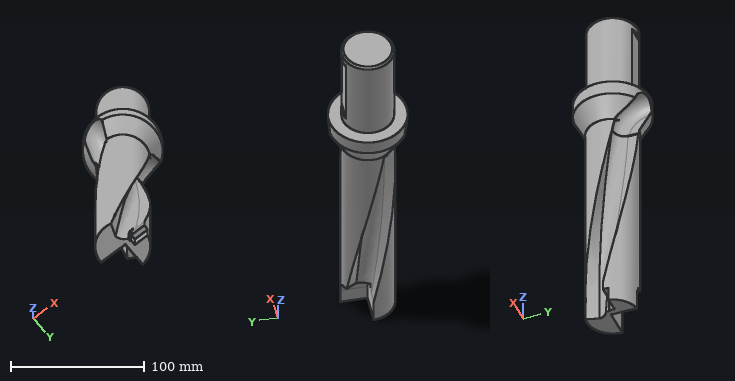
import cadquery as cq
import math

total_length = 271.0
shank_diameter = 39.8
shank_length = 70.0
shank_chamfer = 1.5
collar_diameter = 60.0
collar_thickness = 11.5
cone_height = 17.0
body_diameter = 41.5

flat_depth = 1.5
flat_bottom = 207.8
flat_top = 263.5

wall_angle = 169.5
wall_start = 12.5
root_radius = 9.5
root_start_angle = -9.0
flank_angle = 110.0
flute_reach = 24.5
flute_twist_rate = 0.5906
flute_top = 171.8

runout_bottom = 169.0
runout_radius = 10.3
runout_depth = 28.5
runout_axis_offset = 31.5
runout_tilt = 9.0

pocket_straight = 12.5
pocket_bend_radius = 14.0
central_floor = 2.7
central_wall = 0.3
outer_floor = 7.3
outer_wall = 0.0
seat_floor = 8.0
seat_wall = 4.3
seat_height = 11.0

shank_radius = shank_diameter / 2
collar_radius = collar_diameter / 2
body_radius = body_diameter / 2
collar_top = total_length - shank_length
collar_bottom = collar_top - collar_thickness
cone_bottom = collar_bottom - cone_height


def polar(radius, angle):
    """Point at a radius and an angle in degrees."""
    turn = math.radians(angle)
    return cq.Vector(radius * math.cos(turn), radius * math.sin(turn))


def turned_blank():
    """Body, cone, collar and chamfered shank as one revolved solid."""
    return (
        cq.Workplane("XZ")
        .moveTo(0, 0)
        .lineTo(body_radius, 0)
        .lineTo(body_radius, cone_bottom)
        .lineTo(collar_radius, collar_bottom)
        .lineTo(collar_radius, collar_top)
        .lineTo(shank_radius, collar_top)
        .lineTo(shank_radius, total_length - shank_chamfer)
        .lineTo(shank_radius - shank_chamfer, total_length)
        .lineTo(0, total_length)
        .close()
        .revolve(360, (0, 0, 0), (0, 1, 0))
    )


def clamping_flat():
    """Block that cuts the flat into the +Y side of the shank."""
    return cq.Workplane("XY").box(
        shank_diameter, shank_radius, flat_top - flat_bottom, centered=(True, False, False)
    ).translate((0, shank_radius - flat_depth, flat_bottom))


def flute_root(turn):
    """Start, middle and end of the round flute root, turned by an angle from z = 0."""
    root_end_angle = wall_angle - 270
    root_middle_angle = (root_start_angle + root_end_angle) / 2
    root_end = polar(wall_start, wall_angle + turn)
    root_center = root_end - polar(root_radius, root_end_angle + turn)
    root_start = root_center + polar(root_radius, root_start_angle + turn)
    root_middle = root_center + polar(root_radius, root_middle_angle + turn)
    return root_start, root_middle, root_end


def helical_flute():
    """Twisted slot along the body, reaching into the run-out."""
    root_start, root_middle, root_end = flute_root(0)
    flank_end = root_start + polar(flute_reach, flank_angle)
    wall_end = root_end + polar(flute_reach, wall_angle)
    section = (
        cq.Workplane("XY")
        .moveTo(flank_end.x, flank_end.y)
        .lineTo(root_start.x, root_start.y)
        .threePointArc((root_middle.x, root_middle.y), (root_end.x, root_end.y))
        .lineTo(wall_end.x, wall_end.y)
        .close()
    )
    return section.twistExtrude(flute_top, flute_twist_rate * flute_top)


def flute_runout():
    """U-shaped groove, open towards -Y, swung up and outward through the collar."""
    apex = flute_root(flute_twist_rate * runout_bottom)[0]
    left = apex.x - runout_radius
    right = apex.x + runout_radius
    round_start = apex.y - runout_radius
    section = (
        cq.Workplane("XY", origin=(0, 0, runout_bottom))
        .moveTo(left, -runout_depth)
        .lineTo(left, round_start)
        .threePointArc((apex.x, apex.y), (right, round_start))
        .lineTo(right, -runout_depth)
        .close()
    )
    swing = section.revolve(90, (0, -runout_axis_offset, 0), (1, -runout_axis_offset, 0))
    return swing.rotate((0, 0, runout_bottom), (0, 1, runout_bottom), runout_tilt)


def insert_pocket(floor, wall):
    """Pocket on the -X, +Y side: a flat floor that bends out to -X, beside a wall facing +Y."""
    pocket_top = pocket_straight + pocket_bend_radius
    bend_middle = polar(pocket_bend_radius, 45)
    bend_x = floor - pocket_bend_radius
    return (
        cq.Workplane("XZ", origin=(0, wall, 0))
        .moveTo(-collar_radius, 0)
        .lineTo(floor, 0)
        .lineTo(floor, pocket_straight)
        .threePointArc(
            (bend_x + bend_middle.x, pocket_straight + bend_middle.y),
            (bend_x, pocket_top),
        )
        .lineTo(-collar_radius, pocket_top)
        .close()
        .extrude(-collar_radius)
    )


def insert_seat():
    """Deeper rectangular seat in the outer pocket, on the -X, +Y side before it is turned."""
    return cq.Workplane("XY").box(
        collar_radius, collar_radius, seat_height, centered=False
    ).translate((-seat_floor - collar_radius, -seat_wall, 0))


def half_turn(shape):
    """The shape turned to the opposite side of the axis."""
    return shape.rotate((0, 0, 0), (0, 0, 1), 180)


result = turned_blank().cut(clamping_flat())
for cutter in (helical_flute(), flute_runout()):
    result = result.cut(cutter).cut(half_turn(cutter))
result = result.cut(insert_pocket(central_floor, -central_wall))
result = result.cut(half_turn(insert_pocket(-outer_floor, outer_wall)))
result = result.cut(half_turn(insert_seat()))